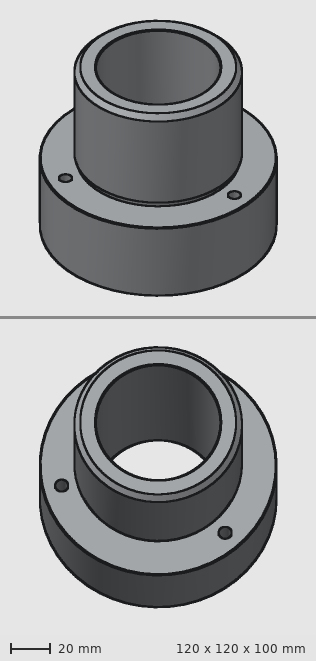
import cadquery as cq

flange_diameter = 120.0
total_height = 100.0
flange_height = 43.0

sleeve_diameter = 85.0
sleeve_chamfer = 3.0
groove_diameter = 83.0
groove_height = 3.0

bore_diameter = 63.0
edge_chamfer = 0.5

bolt_hole_diameter = 6.6
bolt_circle_radius = 50.0
bolt_hole_count = 3
first_bolt_angle = 30


def cylinder(diameter, height, base_z=0):
    """Vertical cylinder centred on the Z axis."""
    return cq.Workplane("XY").workplane(offset=base_z).circle(diameter / 2).extrude(height)


flange = cylinder(flange_diameter, flange_height).edges("%CIRCLE").chamfer(edge_chamfer)

groove = cylinder(groove_diameter, groove_height, flange_height)
sleeve_base = flange_height + groove_height
sleeve = cylinder(sleeve_diameter, total_height - sleeve_base, sleeve_base)
sleeve = sleeve.faces(">Z").edges().chamfer(sleeve_chamfer)
body = flange.union(groove).union(sleeve)

bore = cylinder(bore_diameter, total_height)
body = body.cut(bore)
bore_mouths = cq.selectors.RadiusNthSelector(0)
body = body.faces("<Z or >Z").edges(bore_mouths).chamfer(edge_chamfer)

bolt_holes = (
    cq.Workplane("XY")
    .polarArray(bolt_circle_radius, first_bolt_angle, 360, bolt_hole_count)
    .circle(bolt_hole_diameter / 2)
    .extrude(flange_height)
)
result = body.cut(bolt_holes)